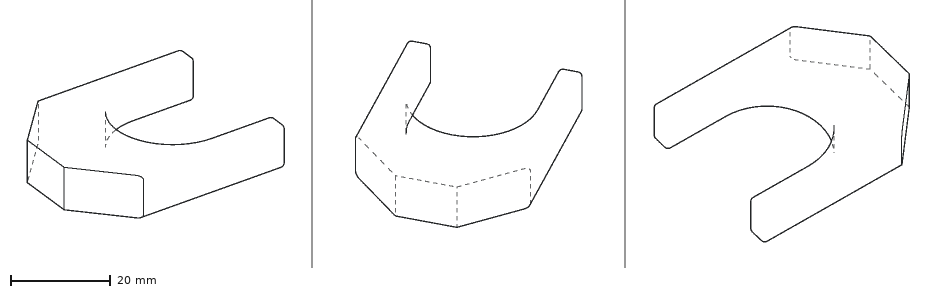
import cadquery as cq

width = 37.0
thickness = 10.0
slot_radius = 13.5
arm_length = 15.0
shoulder_depth = 20.0
base_depth = 31.15
base_flat_width = 13.0
edge_radius = 1.0

half_width = width / 2
half_flat = base_flat_width / 2


def fork_blank():
    """Plate with two arms around a U-shaped slot and a tapered base."""
    return (
        cq.Workplane("XY")
        .workplane(offset=-thickness / 2)
        .moveTo(-half_width, arm_length)
        .lineTo(-half_width, -shoulder_depth)
        .lineTo(-half_flat, -base_depth)
        .lineTo(half_flat, -base_depth)
        .lineTo(half_width, -shoulder_depth)
        .lineTo(half_width, arm_length)
        .lineTo(slot_radius, arm_length)
        .lineTo(slot_radius, 0)
        .threePointArc((0, -slot_radius), (-slot_radius, 0))
        .lineTo(-slot_radius, arm_length)
        .close()
        .extrude(thickness)
    )


def round_edges(body):
    """Round every edge of the arms and slot, leaving the tapered base sharp."""
    above_shoulder = cq.selectors.BoxSelector(
        (-width, -shoulder_depth + edge_radius, -thickness),
        (width, arm_length + edge_radius, thickness),
    )
    return body.edges(above_shoulder).fillet(edge_radius)


result = round_edges(fork_blank())